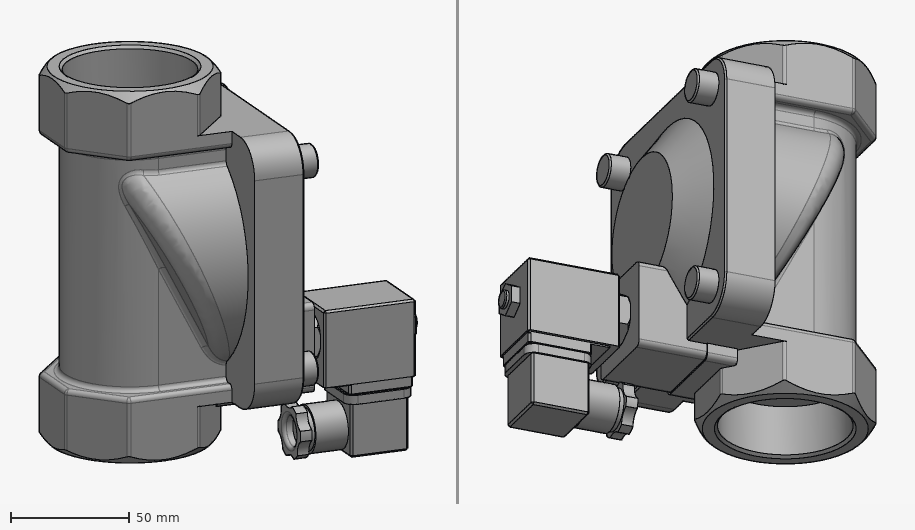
import cadquery as cq
import math


pipe_length = 164.8
pipe_radius = 30.0
head_flats = 72.0
head_front_face = 27.8
head_side_face = 32.5
head_inner_z = 52.5
head_edge_radius = 2.2
neck_radius = 2.2
head_end_radius = 35.0
head_end_angle = 45
core_overlap = 1.8
core_y = 36.5
bore_radius = 28.7
bore_depth = 23.7
bore_chamfer = 1.3

flange_side = 120.0
flange_corner_radius = 15.0
flange_back_y = 31.2
flange_split_y = 45.1
cover_y = 54.3
cover_chamfer = 0.7

dome_radius = 53.2
dome_slope = 27.8
dome_axis_y = 3.5
dome_edge_radius = 8.0
dome_pipe_radius = 2.5
dome_inner_x = 22.0

bonnet_top_y = 66.1
bonnet_top_radius = 31.6
bonnet_base_radius = 48.0

screw_offset = 46.0
screw_radius = 7.3
screw_top_y = 64.0
screw_chamfer = 0.7

pilot_width = 40.2
pilot_top_z = -26.7
pilot_bottom_z = -66.3
pilot_y = 76.4
pilot_edge_radius = 2.7
pilot_tab_margin = 0.7

coil_axis_z = -46.8
coil_width = 30.3
coil_start_y = 83.0
coil_end_y = 125.3
coil_top_z = -32.3
coil_bottom_z = -66.3
coil_chamfer = 1.0
lock_nut_diameter = 25.5
lock_nut_chamfer = 1.3
top_nut_diameter = 15.0
top_nut_y = 129.3
stud_radius = 4.0
stud_y = 131.0
stud_chamfer = 0.5

lip_start_y = 87.1
lip_bottom_z = -67.0
collar_y = (95.2, 124.6)
collar_width = 27.5
collar_bottom_z = -71.5
collar_chamfer = 1.0
gasket_joint_chamfer = 0.4
gasket_y = (94.3, 125.0)
gasket_width = 28.3
gasket_bottom_z = -75.8
gasket_corner_radius = 4.7
plug_y = (96.1, 122.8)
plug_width = 26.3
plug_bottom_z = -99.5
plug_chamfer = 1.0

gland_axis_z = -88.6
gland_radius = 10.6
gland_end_y = 81.1
gland_neck_radius = 9.5
gland_nut_y = (73.5, 78.7)
gland_nut_radius = 12.0
gland_lobes = 6
gland_lobe_angle = 5.0
gland_notch_radius = 7.3
gland_notch_floor = 10.2
gland_hole_radius = 6.8
gland_hole_depth = 4.5
gland_rim_radius = 1.6

margin = 0.2


def plane_at_y(y, x=0.0, z=0.0):
    """Sketch plane at height y with local axes X, Z; extruding goes towards -Y."""
    return cq.Workplane("XZ", origin=(x, y, z))


def cylinder_y(radius, y0, y1, x=0.0, z=0.0):
    return plane_at_y(y1, x, z).circle(radius).extrude(y1 - y0)


def hexagon_y(diameter, y0, y1, z):
    """Hexagonal prism along Y, centred on X = 0, with two corners pointing along Z."""
    prism = plane_at_y(y1).polygon(6, diameter).extrude(y1 - y0)
    return prism.rotate((0, 0, 0), (0, 1, 0), 30).translate((0, 0, z))


def block(width, y0, y1, z0, z1):
    """Box centred on X = 0."""
    size = (width, y1 - y0, z1 - z0)
    return cq.Workplane("XY").box(*size).translate((0, (y0 + y1) / 2, (z0 + z1) / 2))


def chamfered_disc(radius, y0, y1, chamfer, z):
    """Disc along Y with both rims chamfered."""
    return cylinder_y(radius, y0, y1, z=z).edges().chamfer(chamfer)


def pipe_head():
    """Upper octagonal end with the shoulder that joins it to the flange."""
    end_z = pipe_length / 2
    height = end_z - head_inner_z
    half = head_flats / 2
    quarter = [(half, head_side_face / 2), (head_front_face / 2, half)]
    corners = (
        quarter
        + [(-x, y) for x, y in reversed(quarter)]
        + [(-x, -y) for x, y in quarter]
        + [(x, -y) for x, y in reversed(quarter)]
    )
    octagon = (
        cq.Workplane("XY", origin=(0, 0, head_inner_z))
        .polyline(corners)
        .close()
        .extrude(height)
        .edges("|Z")
        .fillet(head_edge_radius)
    )
    end_cone = (
        cq.Workplane("XY", origin=(0, 0, end_z))
        .circle(head_end_radius)
        .extrude(-height, taper=-head_end_angle)
    )
    shoulder = block(head_flats, 0, core_y, head_inner_z, flange_side / 2)
    head = octagon.intersect(end_cone).union(shoulder)
    return head.faces("<Z").edges("not >Y").fillet(head_edge_radius)


def slanted_dome():
    """Cylinder along Y, cut obliquely and rounded, kept only where it bulges beside the pipe."""
    reach = 2 * dome_radius
    cutter = (
        cq.Workplane("XY")
        .box(2 * reach, reach, 3 * reach)
        .translate((0, -reach / 2, 0))
        .rotate((0, 0, 0), (1, 0, 0), dome_slope)
        .translate((0, dome_axis_y, 0))
    )
    blank = cylinder_y(dome_radius, -reach / 2, cover_y).rotate((0, 0, 0), (0, 1, 0), 90)
    dome = blank.cut(cutter)
    dome = dome.edges("<Y").fillet(dome_edge_radius)
    middle = block(2 * dome_inner_x, -reach, reach, -reach, reach)
    return dome.cut(middle)


def pipe_body():
    """Pipe with a flat-sided core towards the flange and both octagonal ends."""
    head = pipe_head()
    core = (
        cq.Workplane("XY")
        .moveTo(pipe_radius, core_y)
        .lineTo(pipe_radius, 0)
        .threePointArc((0, -pipe_radius), (-pipe_radius, 0))
        .lineTo(-pipe_radius, core_y)
        .close()
        .extrude(head_inner_z + core_overlap, both=True)
    )
    body = core.union(head).union(head.mirror("XY"))
    side = pipe_radius + margin
    for z in (-head_inner_z, head_inner_z):
        neck_box = cq.selectors.BoxSelector(
            (-side, -side, z - margin),
            (side, core_y - margin, z + margin),
        )
        body = body.edges(neck_box).fillet(neck_radius)
    return body


def flange():
    """Body plate and cover plate of the square flange."""
    plate = (
        plane_at_y(cover_y)
        .rect(flange_side, flange_side)
        .extrude(cover_y - flange_back_y)
        .edges("|Y")
        .fillet(flange_corner_radius)
    )
    return plate.faces(">Y").edges().chamfer(cover_chamfer)


def bonnet():
    return (
        cq.Workplane("XY")
        .polyline([
            (0, flange_split_y),
            (bonnet_base_radius, flange_split_y),
            (bonnet_base_radius, cover_y),
            (bonnet_top_radius, bonnet_top_y),
            (0, bonnet_top_y),
        ])
        .close()
        .revolve(360, (0, 0, 0), (0, 1, 0))
    )


def screws():
    heads = cq.Workplane("XY")
    for x in (-screw_offset, screw_offset):
        for z in (-screw_offset, screw_offset):
            head = cylinder_y(screw_radius, flange_split_y, screw_top_y, x, z)
            heads = heads.union(head.faces(">Y").edges().chamfer(screw_chamfer))
    return heads


def pilot_block():
    pilot = block(pilot_width, flange_split_y, pilot_y, pilot_bottom_z, pilot_top_z)
    pilot = pilot.edges("|Y").fillet(pilot_edge_radius)
    tab_width = pilot_width + 2 * pilot_tab_margin
    tab_bottom_z = pilot_bottom_z - pilot_tab_margin
    tab = block(tab_width, flange_back_y, flange_split_y, tab_bottom_z, pilot_top_z)
    return pilot.union(tab.edges("|Y and <Z").fillet(pilot_edge_radius))


def coil():
    """Coil case with its lock nut, top nut and stud."""
    case = block(coil_width, coil_start_y, coil_end_y, coil_bottom_z, coil_top_z)
    case = case.edges("not <Z").chamfer(coil_chamfer)
    lock_nut = hexagon_y(lock_nut_diameter, pilot_y, coil_start_y, coil_axis_z)
    nut_limit = chamfered_disc(
        lock_nut_diameter / 2, pilot_y, coil_start_y, lock_nut_chamfer, coil_axis_z
    )
    top_nut = hexagon_y(top_nut_diameter, coil_end_y, top_nut_y, coil_axis_z)
    stud = cylinder_y(stud_radius, coil_end_y, stud_y, z=coil_axis_z)
    stud = stud.faces(">Y").edges().chamfer(stud_chamfer)
    return case.union(lock_nut.intersect(nut_limit)).union(top_nut).union(stud)


def connector():
    lip = block(collar_width, lip_start_y, collar_y[1], lip_bottom_z, coil_bottom_z)
    collar = block(collar_width, *collar_y, collar_bottom_z, coil_bottom_z)
    collar = collar.edges("|Z").chamfer(collar_chamfer)
    collar = collar.faces("<Z").edges().chamfer(gasket_joint_chamfer)
    gasket = block(gasket_width, *gasket_y, gasket_bottom_z, collar_bottom_z)
    gasket = gasket.edges("|Z").fillet(gasket_corner_radius)
    gasket = gasket.faces(">Z").edges().chamfer(gasket_joint_chamfer)
    plug = block(plug_width, *plug_y, plug_bottom_z, gasket_bottom_z)
    plug = plug.edges("|Z or <Z").chamfer(plug_chamfer)
    return lip.union(collar).union(gasket).union(plug)


def cable_gland():
    nut_y0, nut_y1 = gland_nut_y
    sleeve = cylinder_y(gland_radius, gland_end_y, plug_y[0], z=gland_axis_z)
    neck = cylinder_y(gland_neck_radius, nut_y1, gland_end_y, z=gland_axis_z)
    nut = cylinder_y(gland_nut_radius, nut_y0, nut_y1, z=gland_axis_z)
    hole = cylinder_y(gland_hole_radius, nut_y0, nut_y0 + gland_hole_depth, z=gland_axis_z)
    rim = cq.selectors.RadiusNthSelector(0)
    nut = nut.cut(hole).faces("<Y").edges(rim).fillet(gland_rim_radius)
    pitch = 360 / gland_lobes
    notch_distance = gland_notch_floor + gland_notch_radius
    for i in range(gland_lobes):
        angle = math.radians(gland_lobe_angle + (i + 0.5) * pitch)
        x = notch_distance * math.cos(angle)
        z = gland_axis_z + notch_distance * math.sin(angle)
        nut = nut.cut(cylinder_y(gland_notch_radius, nut_y0, nut_y1, x, z))
    return sleeve.union(neck).union(nut)


def bores(body):
    """Blind round port in both pipe ends, with a chamfered mouth."""
    for sign in (-1, 1):
        end_z = sign * pipe_length / 2
        port = (
            cq.Workplane("XY", origin=(0, 0, end_z))
            .circle(bore_radius)
            .extrude(-sign * bore_depth)
        )
        mouth = (
            cq.Workplane("XY", origin=(0, 0, end_z))
            .circle(bore_radius + bore_chamfer)
            .workplane(offset=-sign * bore_chamfer)
            .circle(bore_radius)
            .loft()
        )
        body = body.cut(port).cut(mouth)
    return body


def casting():
    """Pipe, dome and flange in one piece, with the dome blended into the pipe."""
    body = pipe_body().union(slanted_dome()).union(flange())
    side = pipe_radius + dome_pipe_radius
    dome_region = cq.selectors.BoxSelector(
        (-side, -side, -head_inner_z + neck_radius),
        (side, flange_back_y - margin, head_inner_z - neck_radius),
    )
    body = body.edges(dome_region).edges("not |Z").fillet(dome_pipe_radius)
    return bores(body)


result = (
    casting()
    .union(bonnet())
    .union(screws())
    .union(pilot_block())
    .union(coil())
    .union(connector())
    .union(cable_gland())
)